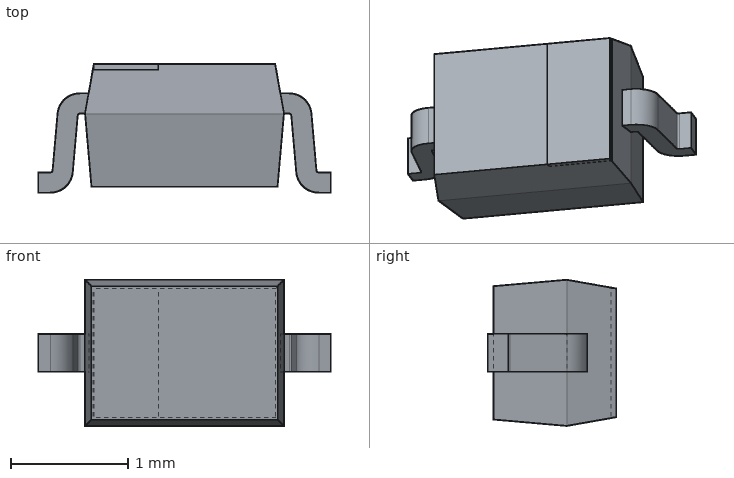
import cadquery as cq
import math

span = 2.5
housing_length = 1.7
housing_width = 1.25
base_depth = 0.625
cover_depth = 0.425
base_draft = 5.0
cover_draft = 10.0

lead_width = 0.325
lead_thickness = 0.175
foot_drop = 0.05
foot_flat = 0.105
inner_radius = 0.018
outer_radius = inner_radius + lead_thickness
leg_tilt = math.radians(5.0)

band_length = 0.55
band_depth = 0.05

overall_depth = foot_drop + base_depth + cover_depth
foot_y = -overall_depth / 2
parting_y = foot_y + foot_drop + base_depth
cover_y = parting_y + cover_depth
cover_inset = cover_depth * math.tan(math.radians(cover_draft))
band_start_x = -housing_length / 2 + cover_inset
band_width = housing_width - 2 * cover_inset


def drafted_half(depth, draft):
    """Tapered half of the housing; positive depth extrudes towards +Y."""
    plane = cq.Plane(origin=(0, parting_y, 0), xDir=(1, 0, 0), normal=(0, math.copysign(1, depth), 0))
    return cq.Workplane(plane).rect(housing_length, housing_width).extrude(abs(depth), taper=draft)


def band_block(start_x):
    """Block from start_x to the inner end of the band, flush with the +Y face."""
    length = band_start_x + band_length - start_x
    block = cq.Workplane("XY").box(length, band_depth, band_width, centered=(False, False, True))
    return block.translate((start_x, cover_y - band_depth, 0))


def make_housing():
    """Two drafted halves, with a band recess that is open at the -X end."""
    halves = drafted_half(-base_depth, base_draft).union(drafted_half(cover_depth, cover_draft))
    return halves.cut(band_block(-housing_length / 2))


def make_band():
    return band_block(band_start_x)


def make_lead():
    """Lead on the -X side, ending against the drafted wall of the housing."""
    end_x = -span / 2
    top_y = parting_y + lead_thickness
    wall_x = -housing_length / 2
    wall_run = lead_thickness * math.tan(math.radians(cover_draft))

    foot_x = end_x + foot_flat
    foot_bend_y = foot_y + outer_radius
    shoulder_bend_y = top_y - outer_radius
    bend_rise = shoulder_bend_y - foot_bend_y
    radius_sum = inner_radius + outer_radius
    shoulder_x = foot_x + (radius_sum + bend_rise * math.sin(leg_tilt)) / math.cos(leg_tilt)

    def on_foot_bend(radius, angle):
        return (foot_x + radius * math.cos(angle), foot_bend_y + radius * math.sin(angle))

    def on_shoulder_bend(radius, angle):
        return (shoulder_x - radius * math.cos(angle), shoulder_bend_y - radius * math.sin(angle))

    flat_angle = -math.pi / 2
    leg_angle = -leg_tilt
    middle_angle = (flat_angle + leg_angle) / 2

    profile = (
        cq.Workplane("XY")
        .moveTo(end_x, foot_y)
        .lineTo(*on_foot_bend(outer_radius, flat_angle))
        .threePointArc(on_foot_bend(outer_radius, middle_angle), on_foot_bend(outer_radius, leg_angle))
        .lineTo(*on_shoulder_bend(inner_radius, leg_angle))
        .threePointArc(on_shoulder_bend(inner_radius, middle_angle), on_shoulder_bend(inner_radius, flat_angle))
        .lineTo(wall_x, parting_y)
        .lineTo(wall_x + wall_run, top_y)
        .lineTo(*on_shoulder_bend(outer_radius, flat_angle))
        .threePointArc(on_shoulder_bend(outer_radius, middle_angle), on_shoulder_bend(outer_radius, leg_angle))
        .lineTo(*on_foot_bend(inner_radius, leg_angle))
        .threePointArc(on_foot_bend(inner_radius, middle_angle), on_foot_bend(inner_radius, flat_angle))
        .lineTo(end_x, foot_y + lead_thickness)
        .close()
    )
    return profile.extrude(lead_width / 2, both=True)


housing = make_housing()
band = make_band()
leads = [make_lead().rotate((0, 0, 0), (0, 1, 0), turn) for turn in (0, 180)]

result = cq.Compound.makeCompound([housing.val(), band.val(), *[lead.val() for lead in leads]])